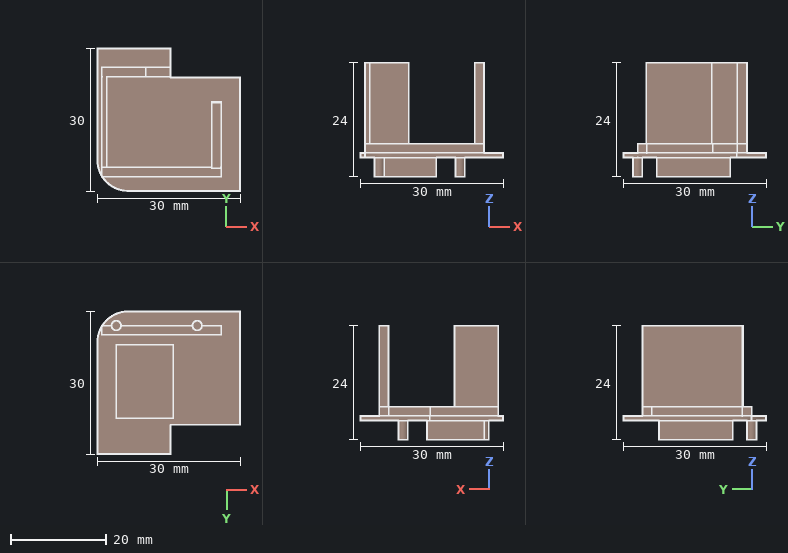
import cadquery as cq

plate_size = 30.0
plate_thickness = 1.0
corner_radius = 6.5
notch_x = 15.42
notch_y = 23.88

foot_height = 4.02
pin_diameter = 2.0
pin_y = 3.0
pin_x_places = [4.0, 21.0]
block_x_start = 4.0
block_x_end = 16.0
block_y_start = 7.0
block_y_end = 22.5

frame_left = 1.0
frame_right = 26.05
frame_front = 3.0
frame_back = 26.0
rail_height = 1.95
front_rail_width = 1.95
left_wall_thickness = 1.02
thick_wall = 2.0
back_rail_end = 15.3
right_rail_end = 18.75

total_height = 24.0
back_wall_end = 10.23
right_wall_shift = 0.15

plate_top = foot_height + plate_thickness
rail_top = plate_top + rail_height
rail_start_y = frame_front + front_rail_width
back_inner_y = frame_back - thick_wall
left_inner_x = frame_left + left_wall_thickness
right_inner_x = frame_right - thick_wall


def box_between(x_start, x_end, y_start, y_end, z_start, z_end):
    """Box given by its limits along each axis."""
    size = (x_end - x_start, y_end - y_start, z_end - z_start)
    return cq.Workplane("XY").box(*size, centered=False).translate((x_start, y_start, z_start))


def make_front_rail():
    """Rail that fills a slot through the plate; one corner reaches the rounded plate edge."""
    return box_between(frame_left, frame_right, frame_front, rail_start_y, foot_height, rail_top)


def make_plate():
    """Plate with its rounded corner, its notch and the slot for the front rail."""
    square = box_between(0, plate_size, 0, plate_size, foot_height, plate_top)
    rounded = square.edges("|Z and (<X and <Y)").fillet(corner_radius)
    notch = box_between(notch_x, plate_size, notch_y, plate_size, foot_height, plate_top)
    return rounded.cut(notch).cut(make_front_rail())


def make_pin(x):
    return cq.Workplane("XY").center(x, pin_y).circle(pin_diameter / 2).extrude(foot_height)


def make_block():
    return box_between(block_x_start, block_x_end, block_y_start, block_y_end, 0, foot_height)


def make_rail(x_start, x_end, y_start, y_end):
    """Rail that stands on the plate."""
    return box_between(x_start, x_end, y_start, y_end, plate_top, rail_top)


def make_corner_wall():
    """L-shaped wall: a thin left side and a short, thicker back side."""
    left_side = box_between(frame_left, left_inner_x, rail_start_y, frame_back, rail_top, total_height)
    back_side = box_between(frame_left, back_wall_end, back_inner_y, frame_back, rail_top, total_height)
    return left_side.union(back_side).clean()


def make_right_wall():
    """Wall on the right rail, set slightly forward of it."""
    y_start = rail_start_y - right_wall_shift
    y_end = right_rail_end - right_wall_shift
    return box_between(right_inner_x, frame_right, y_start, y_end, rail_top, total_height)


plate = make_plate()
pins = [make_pin(x) for x in pin_x_places]
block = make_block()
front_rail = make_front_rail()
left_rail = make_rail(frame_left, left_inner_x, rail_start_y, back_inner_y)
back_rail = make_rail(frame_left, back_rail_end, back_inner_y, frame_back)
right_rail = make_rail(right_inner_x, frame_right, rail_start_y, right_rail_end)
corner_wall = make_corner_wall()
right_wall = make_right_wall()

rails = [front_rail, left_rail, back_rail, right_rail]
bodies = [plate, block, *pins, *rails, corner_wall, right_wall]
result = cq.Compound.makeCompound([body.val() for body in bodies])